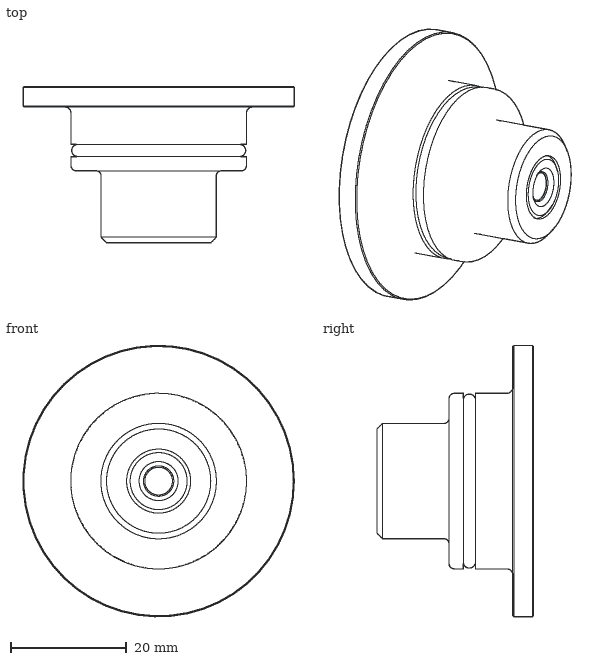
import cadquery as cq
import math

total_length = 27.0

flange_radius = 23.4
flange_thickness = 3.6
flange_chamfer = 0.2

body_radius = 15.15
body_end = 14.6
body_fillet = 1.0

ring_start = 10.0
ring_width = 2.1
ring_outer_radius = 15.0

spigot_radius = 9.95
spigot_chamfer = 1.0
spigot_root_fillet = 0.8

plug_radius = 5.5
plug_bevel = 0.6

recess_radius = 3.35
pin_radius = 2.6
pin_bevel = 0.25
pin_depth = 0.9

hollow_angle = 135
edge_angle = -45


def revolve_about_y(profile):
    return profile.close().revolve(360, (0, 0, 0), (0, 1, 0))


def arc_middle(center_radius, center_y, arc_radius, angle):
    """Point on an arc of the profile at the given angle in degrees."""
    turn = math.radians(angle)
    return (
        center_radius + arc_radius * math.cos(turn),
        center_y + arc_radius * math.sin(turn),
    )


def make_turned_blank():
    """Flange, body with its sealing ring, and spigot, as one revolved outline."""
    ring_end = ring_start + ring_width
    ring_section = ring_width / 2
    ring_center = ring_outer_radius - ring_section

    root_radius = body_radius + body_fillet
    root_y = -flange_thickness - body_fillet
    edge_radius = body_radius - body_fillet
    edge_y = -body_end + body_fillet
    spigot_root_radius = spigot_radius + spigot_root_fillet
    spigot_root_y = -body_end - spigot_root_fillet

    profile = (
        cq.Workplane("XY")
        .moveTo(0, 0)
        .lineTo(flange_radius - flange_chamfer, 0)
        .lineTo(flange_radius, -flange_chamfer)
        .lineTo(flange_radius, -flange_thickness + flange_chamfer)
        .lineTo(flange_radius - flange_chamfer, -flange_thickness)
        .lineTo(root_radius, -flange_thickness)
        .threePointArc(arc_middle(root_radius, root_y, body_fillet, hollow_angle), (body_radius, root_y))
        .lineTo(body_radius, -ring_start)
        .lineTo(ring_center, -ring_start)
        .threePointArc((ring_outer_radius, -ring_start - ring_section), (ring_center, -ring_end))
        .lineTo(body_radius, -ring_end)
        .lineTo(body_radius, edge_y)
        .threePointArc(arc_middle(edge_radius, edge_y, body_fillet, edge_angle), (edge_radius, -body_end))
        .lineTo(spigot_root_radius, -body_end)
        .threePointArc(
            arc_middle(spigot_root_radius, spigot_root_y, spigot_root_fillet, hollow_angle),
            (spigot_radius, spigot_root_y),
        )
        .lineTo(spigot_radius, -total_length + spigot_chamfer)
        .lineTo(spigot_radius - spigot_chamfer, -total_length)
        .lineTo(0, -total_length)
    )
    return revolve_about_y(profile)


def make_plug_groove():
    """Groove with a straight outer wall and a 45 degree inner side."""
    profile = (
        cq.Workplane("XY")
        .moveTo(plug_radius, -total_length)
        .lineTo(plug_radius, -total_length + plug_bevel)
        .lineTo(plug_radius - plug_bevel, -total_length)
    )
    return revolve_about_y(profile)


def make_recess():
    """45 degree countersink whose bottom is the pin face, lower around its bevelled rim."""
    pin_face = -total_length + pin_depth
    profile = (
        cq.Workplane("XY")
        .moveTo(0, -total_length)
        .lineTo(recess_radius, -total_length)
        .lineTo(pin_radius, -total_length + recess_radius - pin_radius)
        .lineTo(pin_radius, pin_face + pin_bevel)
        .lineTo(pin_radius - pin_bevel, pin_face)
        .lineTo(0, pin_face)
    )
    return revolve_about_y(profile)


result = make_turned_blank().cut(make_plug_groove()).cut(make_recess())